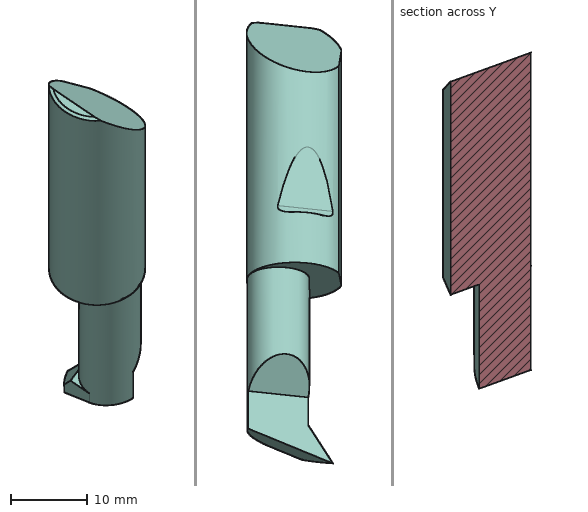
import cadquery as cq
import math

total_length = 63.5
shank_radius = 6.35
shank_bottom = 25.4
neck_radius = 4.095
neck_x = shank_radius - neck_radius

rim_width = 0.5
rim_height = 0.2
slope_start_y = -4.6
flat_edge_y = neck_radius
notch_top = 41.9
notch_bottom = 32.6
notch_depth = 1.4
notch_corner_radius = 0.95

rake_face_top = 9.0
head_top = 5.1
tip_x = -5.2
end_rise = 3.7
relief_angle = 11.0
relief = neck_radius * math.tan(math.radians(relief_angle))
heel_x = -2.15
side_bulge = 0.16


def make_prism_along_x(points):
    """Extrude a (Y, Z) outline across the full shank width."""
    return cq.Workplane("YZ").polyline(points).close().extrude(shank_radius, both=True)


def make_relieved_block(rake_outline, back_outline):
    """Join an (X, Z) outline on the rake face to one at the back of the neck."""
    return (
        cq.Workplane("XZ")
        .polyline(rake_outline)
        .close()
        .workplane(offset=neck_radius)
        .polyline(back_outline)
        .close()
        .loft(ruled=True)
    )


def make_shank():
    shank = (
        cq.Workplane("XY")
        .workplane(offset=shank_bottom)
        .circle(shank_radius)
        .extrude(total_length - shank_bottom)
        .faces(">Z")
        .chamfer(rim_height, rim_width)
    )
    slope_end_z = total_length - (shank_radius - slope_start_y)
    end_slope = make_prism_along_x([
        (slope_start_y, total_length),
        (shank_radius, slope_end_z),
        (shank_radius, total_length),
    ])
    flat_edge_x = -math.sqrt(shank_radius**2 - flat_edge_y**2)
    side_flat = (
        cq.Workplane("XY")
        .polyline([
            (-shank_radius, 0),
            (flat_edge_x, flat_edge_y),
            (-shank_radius, flat_edge_y),
        ])
        .close()
        .extrude(total_length)
    )
    notch = make_prism_along_x([
        (shank_radius, notch_top),
        (shank_radius - notch_depth, notch_bottom),
        (shank_radius, notch_bottom),
    ])
    notch = notch.edges("<Y").fillet(notch_corner_radius)
    return shank.cut(end_slope).cut(side_flat).cut(notch)


def make_neck():
    neck = (
        cq.Workplane("XY")
        .center(neck_x, 0)
        .circle(neck_radius)
        .extrude(shank_bottom)
    )
    half_cut = make_prism_along_x([
        (0, 0),
        (0, rake_face_top),
        (neck_radius, rake_face_top + neck_radius),
        (neck_radius, 0),
    ])
    return neck.cut(half_cut)


def make_head():
    side_length = math.hypot(heel_x - tip_x, neck_radius)
    side_middle = (
        (tip_x + heel_x) / 2 - side_bulge * neck_radius / side_length,
        -neck_radius / 2 - side_bulge * (heel_x - tip_x) / side_length,
    )
    quarter = neck_radius * math.sqrt(0.5)
    plan = (
        cq.Workplane("XY")
        .moveTo(tip_x, 0)
        .threePointArc(side_middle, (heel_x, -neck_radius))
        .lineTo(neck_x, -neck_radius)
        .threePointArc((neck_x + quarter, -quarter), (shank_radius, 0))
        .close()
        .extrude(head_top)
    )

    flank_top_x = neck_x - neck_radius
    flank = make_relieved_block(
        [(tip_x, 0), (flank_top_x, head_top), (shank_radius, head_top), (shank_radius, 0)],
        [(tip_x + relief, 0), (flank_top_x + relief, head_top), (shank_radius, head_top), (shank_radius, 0)],
    )
    return plan.intersect(flank)


def make_end_cut():
    """Material below the sloping end face, which rises away from the rake face."""
    return make_relieved_block(
        [(tip_x, 0), (shank_radius, end_rise), (shank_radius, -relief), (tip_x, -relief)],
        [(tip_x, relief), (shank_radius, end_rise + relief), (shank_radius, -relief), (tip_x, -relief)],
    )


bar = make_neck().union(make_head()).cut(make_end_cut())
result = make_shank().union(bar).clean()